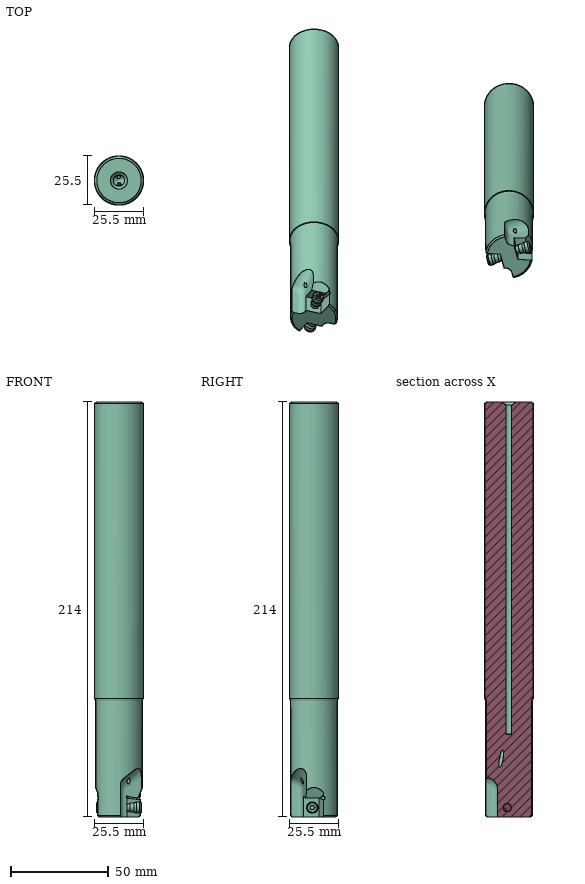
import cadquery as cq
import math

TOTAL_LENGTH = 214.0
SHANK_RADIUS = 25.5 / 2
SHANK_CHAMFER_HEIGHT = 0.9
SHANK_CHAMFER_WIDTH = 1.3
SHOULDER_Z = 61.2
NECK_RADIUS = 24.2 / 2
NECK_TOP_Z = 59.7
NECK_CONE_RADIUS = 12.5
NOSE_CHAMFER = 0.9

BORE_RADIUS = 5.8 / 2
BORE_MOUTH_RADIUS = 8.8 / 2
BORE_BOTTOM_Z = 42.8
DRILL_POINT_ANGLE = 118.0
DUCT_RADIUS = 0.9
DUCT_START = cq.Vector(0.0, -1.7, 42.8)
DUCT_EXIT = cq.Vector(5.1, -6.2, 17.5)
DUCT_OVERRUN = 1.3

FLUTE_WALL_X = 0.9
FLUTE_END_Z = 18.0
FLUTE_END_SLOPE = 0.79
FLUTE_BACK_Y = -6.5
FLUTE_BACK_ANGLE = 13.0
FLUTE_BACK_RADIUS = 6.0
FLUTE_WALL_RADIUS = 3.5

SEAT_X = 4.0
SEAT_TOP_Z = 10.7
LIP_X = 9.8
LIP_Z = 9.8
LIP_SLOPE = 2.4
POCKET_BACK_Y = 2.5
POCKET_RIM_X = 11.0
POCKET_RIM_Y = 5.0
RELIEF_RADIUS = 0.9

SCREW_Y = -0.9
SCREW_Z = 5.0
SCREW_THREAD_DEPTH = 3.2
SCREW_SHANK_RADIUS = 2.0
SCREW_COLLAR_RADIUS = 2.4
SCREW_COLLAR_X = 5.8
SCREW_HEAD_RADIUS = 5.8 / 2
SCREW_HEAD_X = 9.0
SCREW_CONE_X = 7.7
SCREW_TOP_X = 11.5
SCREW_CHAMFER_LENGTH = 0.9
SCREW_CHAMFER_WIDTH = 0.5
SOCKET_SIZE = 2.5
SOCKET_DEPTH = 1.3

CLEAR = 17.1
SIDES = (0.0, 180.0)


def turned(shape, angle):
    return shape.rotate((0, 0, 0), (0, 0, 1), angle)


def make_blank():
    """Round stock: chamfered shank, shoulder, short cone, neck and chamfered nose."""
    return (
        cq.Workplane("XZ")
        .moveTo(0, 0)
        .lineTo(-(NECK_RADIUS - NOSE_CHAMFER), 0)
        .lineTo(-NECK_RADIUS, NOSE_CHAMFER)
        .lineTo(-NECK_RADIUS, NECK_TOP_Z)
        .lineTo(-NECK_CONE_RADIUS, SHOULDER_Z)
        .lineTo(-SHANK_RADIUS, SHOULDER_Z)
        .lineTo(-SHANK_RADIUS, TOTAL_LENGTH - SHANK_CHAMFER_HEIGHT)
        .lineTo(-(SHANK_RADIUS - SHANK_CHAMFER_WIDTH), TOTAL_LENGTH)
        .lineTo(0, TOTAL_LENGTH)
        .close()
        .revolve(360, (0, 0, 0), (0, 1, 0))
    )


def make_bore():
    """Countersunk bore with a conical drill point."""
    mouth_depth = BORE_MOUTH_RADIUS - BORE_RADIUS
    point_depth = BORE_RADIUS / math.tan(math.radians(DRILL_POINT_ANGLE / 2))
    return (
        cq.Workplane("XZ")
        .moveTo(0, BORE_BOTTOM_Z - point_depth)
        .lineTo(-BORE_RADIUS, BORE_BOTTOM_Z)
        .lineTo(-BORE_RADIUS, TOTAL_LENGTH - mouth_depth)
        .lineTo(-BORE_MOUTH_RADIUS, TOTAL_LENGTH)
        .lineTo(0, TOTAL_LENGTH)
        .close()
        .revolve(360, (0, 0, 0), (0, 1, 0))
    )


def make_duct():
    """Slanted coolant duct from the bore to the flute."""
    run = DUCT_EXIT - DUCT_START
    length = run.Length + DUCT_OVERRUN
    return cq.Workplane(cq.Solid.makeCylinder(DUCT_RADIUS, length, DUCT_START, run))


def make_flute():
    """Flute cutter: sloping end, side wall and turned back wall, blended into one another."""
    wall_end_z = FLUTE_END_Z + FLUTE_END_SLOPE * FLUTE_WALL_X
    profile = (
        cq.Workplane("XZ")
        .moveTo(FLUTE_WALL_X, -CLEAR)
        .lineTo(FLUTE_WALL_X, wall_end_z)
        .lineTo(CLEAR, FLUTE_END_Z + FLUTE_END_SLOPE * CLEAR)
        .lineTo(CLEAR, -CLEAR)
        .close()
        .extrude(2 * CLEAR, both=True)
    )
    back_side = (
        cq.Workplane("XY")
        .box(8 * CLEAR, 4 * CLEAR, 8 * CLEAR, centered=(True, False, True))
        .rotate((0, 0, 0), (0, 0, 1), FLUTE_BACK_ANGLE)
        .translate((0, FLUTE_BACK_Y, 0))
    )
    turn = math.radians(FLUTE_BACK_ANGLE)
    back_normal = cq.Vector(-math.sin(turn), math.cos(turn), 0)
    end_mid_z = FLUTE_END_Z + FLUTE_END_SLOPE * CLEAR / 2
    flute = profile.cut(back_side)
    flute = (
        flute.faces(cq.selectors.DirectionMinMaxSelector(back_normal))
        .edges(cq.selectors.NearestToPointSelector((CLEAR / 2, FLUTE_BACK_Y, end_mid_z)))
        .fillet(FLUTE_BACK_RADIUS)
    )
    return flute.faces("<X").edges(">Y").fillet(FLUTE_WALL_RADIUS)


def make_pocket():
    """Pocket cutter: flat seat and stepped ceiling, closed by a slanting back wall."""
    ceiling = (
        cq.Workplane("XZ")
        .moveTo(SEAT_X, -CLEAR)
        .lineTo(SEAT_X, SEAT_TOP_Z)
        .lineTo(LIP_X, LIP_Z)
        .lineTo(CLEAR, LIP_Z + LIP_SLOPE * (CLEAR - LIP_X))
        .lineTo(CLEAR, -CLEAR)
        .close()
        .extrude(CLEAR, both=True)
    )
    back_slope = (POCKET_RIM_Y - POCKET_BACK_Y) / (POCKET_RIM_X - SEAT_X)
    outline = (
        cq.Workplane("XY", origin=(0, 0, -CLEAR))
        .moveTo(SEAT_X, -CLEAR)
        .lineTo(SEAT_X, POCKET_BACK_Y)
        .lineTo(CLEAR, POCKET_BACK_Y + back_slope * (CLEAR - SEAT_X))
        .lineTo(CLEAR, -CLEAR)
        .close()
        .extrude(3 * CLEAR)
    )
    return ceiling.intersect(outline)


def make_corner_relief():
    """Round groove along the corner between the pocket ceiling and back wall."""
    inner = cq.Vector(SEAT_X, POCKET_BACK_Y, SEAT_TOP_Z)
    run = cq.Vector(POCKET_RIM_X - SEAT_X, POCKET_RIM_Y - POCKET_BACK_Y, LIP_Z - SEAT_TOP_Z)
    return cq.Workplane(cq.Solid.makeCylinder(RELIEF_RADIUS, CLEAR, inner, run))


def make_screw_hole():
    """Blind hole in the seat that exactly holds the screw thread."""
    return (
        cq.Workplane("YZ", origin=(SEAT_X - SCREW_THREAD_DEPTH, SCREW_Y, SCREW_Z))
        .circle(SCREW_SHANK_RADIUS)
        .extrude(SCREW_THREAD_DEPTH)
    )


def make_holder():
    holder = make_blank().cut(make_bore())
    cutters = (make_flute(), make_pocket(), make_corner_relief(), make_duct(), make_screw_hole())
    for cutter in cutters:
        for angle in SIDES:
            holder = holder.cut(turned(cutter, angle))
    return holder


def make_screw(angle):
    """Countersunk screw along X with a collar and a hexagon socket."""
    body = (
        cq.Workplane("XY", origin=(0, SCREW_Y, SCREW_Z))
        .moveTo(SEAT_X - SCREW_THREAD_DEPTH, 0)
        .lineTo(SEAT_X - SCREW_THREAD_DEPTH, SCREW_SHANK_RADIUS)
        .lineTo(SCREW_COLLAR_X, SCREW_SHANK_RADIUS)
        .lineTo(SCREW_COLLAR_X, SCREW_COLLAR_RADIUS)
        .lineTo(SCREW_CONE_X, SCREW_COLLAR_RADIUS)
        .lineTo(SCREW_HEAD_X, SCREW_HEAD_RADIUS)
        .lineTo(SCREW_TOP_X - SCREW_CHAMFER_LENGTH, SCREW_HEAD_RADIUS)
        .lineTo(SCREW_TOP_X, SCREW_HEAD_RADIUS - SCREW_CHAMFER_WIDTH)
        .lineTo(SCREW_TOP_X, 0)
        .close()
        .revolve(360, (0, 0, 0), (1, 0, 0))
    )
    socket = (
        cq.Workplane("YZ", origin=(SCREW_TOP_X - SOCKET_DEPTH, SCREW_Y, SCREW_Z))
        .polygon(6, SOCKET_SIZE)
        .extrude(SOCKET_DEPTH)
    )
    return turned(body.cut(socket), angle)


holder = make_holder()
screws = [make_screw(angle) for angle in SIDES]
result = cq.Compound.makeCompound([holder.val(), *[screw.val() for screw in screws]])